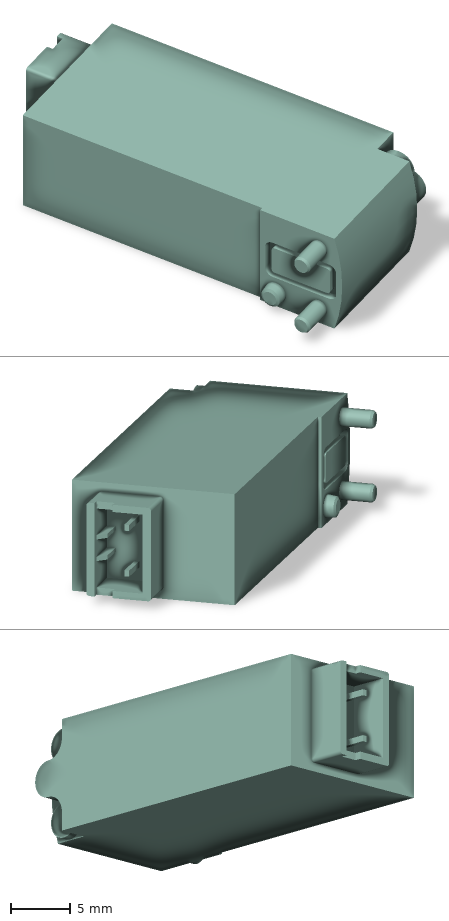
import cadquery as cq
import math


TOTAL_LENGTH = 35.35
BODY_HEIGHT = 9.8
BODY_DEPTH = 14.7
CONNECTOR_LENGTH = 3.55
TIP_ARC_START_X = 34.57
STEP_X = 27.22
STEP_DEPTH = 0.32

SCREW_X = 33.05
HEAD_SEAT_Y = 12.13
RECESS_DIAMETER = 3.3
HEAD_DIAMETER = 3.1
HEAD_HEIGHT = 0.78
DOME_DIAMETER = 2.9
DOME_HEIGHT = 0.42
SHANK_DIAMETER = 1.6
SCREW_TIP_DIAMETER = 1.3
SCREW_TIP_LENGTH = 0.2
SCREW_REACH = 2.9
RECESS_RADIUS = RECESS_DIAMETER / 2
SCREW_Z = BODY_HEIGHT / 2 - RECESS_RADIUS

SEAL_X = 31.25
SEAL_LENGTH = 7.0
SEAL_HEIGHT = 3.7
SEAL_CORNER_RADIUS = 0.7
ISLAND_LENGTH = 5.75
ISLAND_HEIGHT = 2.65
ISLAND_CORNER_RADIUS = 0.3
SEAL_DEPTH = 0.7

PEG_X = 28.77
PEG_Z = -3.4
PEG_BASE_DIAMETER = 2.0
PEG_RIM_DIAMETER = 1.8
PEG_TIP_DIAMETER = 1.3
PEG_LENGTH = 1.0
PEG_TIP_LENGTH = 0.15

SHROUD_MIN_Y = 6.6
SHROUD_WIDTH = 5.73
SHROUD_HEIGHT = 8.25
SHROUD_CORNER_RADIUS = 0.3
SIDE_WALL = 0.75
END_WALL = 0.65
NOTCH_WIDTH = 1.6
NOTCH_DEPTH = 0.55
CAVITY_MIN_Y = SHROUD_MIN_Y + SIDE_WALL
CAVITY_MAX_Y = SHROUD_MIN_Y + SHROUD_WIDTH - SIDE_WALL

RIB_Z = 0.95
RIB_THICKNESS = 0.35
RIB_HEIGHT = 0.75
RIB_START_X = 0.45
PIN_Y = 8.95
PIN_Z = 2.0
PIN_WIDTH = 0.42
PIN_HEIGHT = 0.53
PIN_START_X = 0.55


def box_between(x_range, y_range, z_range):
    """Box given by its low and high limit along each axis."""
    lows, highs = zip(x_range, y_range, z_range)
    sizes = [high - low for low, high in zip(lows, highs)]
    return cq.Workplane("XY").box(*sizes, centered=False).translate(lows)


def xz_plane(y):
    """Workplane facing +Y at the given Y; its local y runs along -Z."""
    return cq.Workplane(cq.Plane(origin=(0, y, 0), xDir=(1, 0, 0), normal=(0, 1, 0)))


def make_block():
    """Main block with an arched tip and a raised mounting face."""
    half_height = BODY_HEIGHT / 2
    block = (
        xz_plane(0)
        .moveTo(CONNECTOR_LENGTH, -half_height)
        .lineTo(TIP_ARC_START_X, -half_height)
        .threePointArc((TOTAL_LENGTH, 0), (TIP_ARC_START_X, half_height))
        .lineTo(CONNECTOR_LENGTH, half_height)
        .close()
        .extrude(BODY_DEPTH)
    )
    step = box_between((CONNECTOR_LENGTH, STEP_X), (0, STEP_DEPTH), (-half_height, half_height))
    return block.cut(step)


def make_head_recess():
    """Cut for both screw heads, leaving a round-ended tongue between them."""
    half_height = BODY_HEIGHT / 2
    wall_x = SCREW_X - RECESS_RADIUS
    tongue_radius = SCREW_Z - RECESS_RADIUS
    diagonal = math.sqrt(0.5)
    hollow_x = SCREW_X - RECESS_RADIUS * diagonal
    hollow_z = SCREW_Z - RECESS_RADIUS * diagonal
    return (
        xz_plane(HEAD_SEAT_Y)
        .moveTo(wall_x, half_height)
        .lineTo(wall_x, SCREW_Z)
        .threePointArc((hollow_x, hollow_z), (SCREW_X, tongue_radius))
        .threePointArc((SCREW_X + tongue_radius, 0), (SCREW_X, -tongue_radius))
        .threePointArc((hollow_x, -hollow_z), (wall_x, -SCREW_Z))
        .lineTo(wall_x, -half_height)
        .lineTo(TOTAL_LENGTH, -half_height)
        .lineTo(TOTAL_LENGTH, half_height)
        .close()
        .extrude(BODY_DEPTH - HEAD_SEAT_Y)
    )


def make_screw_holes():
    """Two through holes that fit the screw shanks."""
    return (
        xz_plane(0)
        .pushPoints([(SCREW_X, SCREW_Z), (SCREW_X, -SCREW_Z)])
        .circle(SHANK_DIAMETER / 2)
        .extrude(HEAD_SEAT_Y)
    )


def rounded_slab(length, height, corner_radius):
    """Slab of the seal depth behind the mounting face, with rounded corners."""
    return (
        xz_plane(0)
        .center(SEAL_X, 0)
        .rect(length, height)
        .extrude(SEAL_DEPTH)
        .edges("|Y")
        .fillet(corner_radius)
    )


def make_seal_groove():
    """Ring-shaped groove around a flush rectangular island."""
    outer = rounded_slab(SEAL_LENGTH, SEAL_HEIGHT, SEAL_CORNER_RADIUS)
    island = rounded_slab(ISLAND_LENGTH, ISLAND_HEIGHT, ISLAND_CORNER_RADIUS)
    return outer.cut(island)


def make_peg():
    """Tapered locating peg with a bevelled tip."""
    rim_y = PEG_TIP_LENGTH - PEG_LENGTH
    return (
        cq.Workplane("XY")
        .moveTo(0, 0)
        .lineTo(PEG_BASE_DIAMETER / 2, 0)
        .lineTo(PEG_RIM_DIAMETER / 2, rim_y)
        .lineTo(PEG_TIP_DIAMETER / 2, -PEG_LENGTH)
        .lineTo(0, -PEG_LENGTH)
        .close()
        .revolve(360, (0, 0, 0), (0, 1, 0))
        .translate((PEG_X, 0, PEG_Z))
    )


def make_shroud():
    """Open connector shroud with a notch across both of its end walls."""
    half_height = SHROUD_HEIGHT / 2
    half_cavity = half_height - END_WALL
    shroud = box_between(
        (0, CONNECTOR_LENGTH),
        (SHROUD_MIN_Y, SHROUD_MIN_Y + SHROUD_WIDTH),
        (-half_height, half_height),
    )
    shroud = shroud.edges("|X").fillet(SHROUD_CORNER_RADIUS)
    cavity = box_between((0, CONNECTOR_LENGTH), (CAVITY_MIN_Y, CAVITY_MAX_Y), (-half_cavity, half_cavity))
    notch = box_between(
        (0, NOTCH_DEPTH),
        (CAVITY_MAX_Y - NOTCH_WIDTH, CAVITY_MAX_Y),
        (-half_height, half_height),
    )
    return shroud.cut(cavity).cut(notch)


def make_rib(z):
    """Keying rib on the +Y shroud wall, with a 45 degree lead-in."""
    return (
        cq.Workplane("XY", origin=(0, 0, z))
        .moveTo(RIB_START_X, CAVITY_MAX_Y)
        .lineTo(RIB_START_X + RIB_HEIGHT, CAVITY_MAX_Y - RIB_HEIGHT)
        .lineTo(CONNECTOR_LENGTH, CAVITY_MAX_Y - RIB_HEIGHT)
        .lineTo(CONNECTOR_LENGTH, CAVITY_MAX_Y)
        .close()
        .extrude(RIB_THICKNESS / 2, both=True)
    )


def make_pin(z):
    """Rectangular contact pin standing on the cavity floor."""
    return box_between(
        (PIN_START_X, CONNECTOR_LENGTH),
        (PIN_Y - PIN_WIDTH / 2, PIN_Y + PIN_WIDTH / 2),
        (z - PIN_HEIGHT / 2, z + PIN_HEIGHT / 2),
    )


def make_housing():
    """Block with its connector, locating peg, seal groove and screw openings."""
    housing = make_block().union(make_shroud()).union(make_peg())
    for side in (1, -1):
        housing = housing.union(make_rib(side * RIB_Z)).union(make_pin(side * PIN_Z))
    return housing.cut(make_head_recess()).cut(make_screw_holes()).cut(make_seal_groove())


def make_screw(z):
    """Dome-headed screw seated in its recess, pointing along -Y."""
    shoulder_y = HEAD_SEAT_Y + HEAD_HEIGHT
    dome_radius = DOME_DIAMETER / 2
    sphere_radius = (dome_radius**2 + DOME_HEIGHT**2) / (2 * DOME_HEIGHT)
    half_dome = dome_radius / 2
    half_dome_rise = DOME_HEIGHT - sphere_radius + math.sqrt(sphere_radius**2 - half_dome**2)
    return (
        cq.Workplane("XY")
        .moveTo(0, -SCREW_REACH)
        .lineTo(SCREW_TIP_DIAMETER / 2, -SCREW_REACH)
        .lineTo(SHANK_DIAMETER / 2, SCREW_TIP_LENGTH - SCREW_REACH)
        .lineTo(SHANK_DIAMETER / 2, HEAD_SEAT_Y)
        .lineTo(HEAD_DIAMETER / 2, HEAD_SEAT_Y)
        .lineTo(HEAD_DIAMETER / 2, shoulder_y)
        .lineTo(dome_radius, shoulder_y)
        .threePointArc((half_dome, shoulder_y + half_dome_rise), (0, shoulder_y + DOME_HEIGHT))
        .close()
        .revolve(360, (0, 0, 0), (0, 1, 0))
        .translate((SCREW_X, 0, z))
    )


housing = make_housing()
screws = [make_screw(side * SCREW_Z) for side in (1, -1)]

result = cq.Compound.makeCompound([housing.val(), *[screw.val() for screw in screws]])